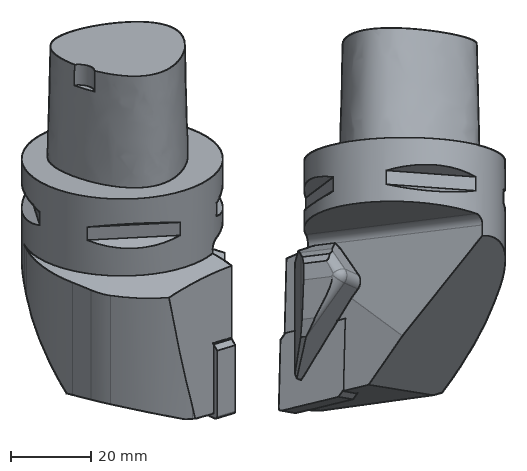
import cadquery as cq
import math


shank_height = 30.0
shank_mean_radius = 17.5
lobe_amplitude = 1.3
shank_inset = shank_height / 40
lobe_points = 48
keyway_diameter = 7.9
keyway_centre_y = -17.7
keyway_depth = 5.6

flange_diameter = 50.0
flange_radius = flange_diameter / 2
flange_height = 20.9
groove_floor_distance = 22.1
groove_mid_z = -10.1
groove_floor_width = 3.5
groove_mouth_width = 6.75

relief_edge_z = -16.1
relief_inner_z = -17.6
relief_fillet = 2.4
seat_y = 5.0

overall_height = 90
nose_trim = 0.1
tip_z = shank_height - overall_height - nose_trim
tip_x = 35.2
tip_y = 0.45
head_bottom_z = -64.8
shoulder_angle = 15
flat_y = -28.5
back_top_z = -22.3
back_bottom_x = 8.5
back_bottom_z = -56.8
head_clearance = 1.2
oversize = 135

insert_edge = 19.3
insert_angle = 80
insert_thickness = 6.75
lead_angle = 5
insert_normal = cq.Vector(0.083, 1, -0.106)
nose_radius = 0.7
corner_chamfer = 1.4

edge_direction = cq.Vector(
    -math.cos(math.radians(lead_angle)), 0, math.sin(math.radians(lead_angle))
)
edge_in_plane = edge_direction - insert_normal * (
    edge_direction.dot(insert_normal) / insert_normal.dot(insert_normal)
)
rake_plane = cq.Plane(
    origin=(tip_x, tip_y, tip_z), xDir=edge_in_plane, normal=insert_normal
)


def rhombus(side, offset, depth):
    """Rhombic prism below the rake plane, its two edges at the tip moved in by offset."""
    angle = math.radians(insert_angle)
    start_x = offset / math.tan(angle / 2)
    lean, rise = side * math.cos(angle), side * math.sin(angle)
    points = [
        (start_x, offset),
        (start_x + side, offset),
        (start_x + side + lean, offset + rise),
        (start_x + lean, offset + rise),
    ]
    return cq.Workplane(rake_plane).polyline(points).close().extrude(-depth)


def make_insert():
    body = rhombus(insert_edge, 0, insert_thickness)
    edges = body.edges(cq.selectors.ParallelDirSelector(insert_normal)).vals()
    edges.sort(key=lambda edge: (edge.Center() - rake_plane.origin).Length)
    nose, *obtuse_corners, _far_corner = edges
    solid = body.val().chamfer(corner_chamfer, None, obtuse_corners)
    return cq.Workplane(solid).edges(
        cq.selectors.NearestToPointSelector(nose.Center().toTuple())
    ).fillet(nose_radius)


def lobed_wire(mean_radius, z):
    points = []
    for index in range(lobe_points):
        angle = 2 * math.pi * index / lobe_points
        along_lobe = mean_radius * math.cos(angle) + lobe_amplitude * math.cos(2 * angle)
        across_lobe = mean_radius * math.sin(angle) - lobe_amplitude * math.sin(2 * angle)
        points.append(cq.Vector(-across_lobe, along_lobe, z))
    return cq.Wire.assembleEdges([cq.Edge.makeSpline(points, periodic=True)])


def make_shank():
    base = lobed_wire(shank_mean_radius, 0)
    top = lobed_wire(shank_mean_radius - shank_inset, shank_height)
    keyway = (
        cq.Workplane("XY", origin=(0, keyway_centre_y, shank_height))
        .circle(keyway_diameter / 2)
        .extrude(-keyway_depth)
    )
    return cq.Workplane(cq.Solid.makeLoft([base, top], True)).cut(keyway)


def make_flange():
    flange = cq.Workplane("XY").circle(flange_radius).extrude(-flange_height)
    depth = flange_radius - groove_floor_distance
    groove = (
        cq.Workplane("XZ")
        .polyline([
            (groove_floor_distance, groove_mid_z - groove_floor_width / 2),
            (groove_floor_distance + depth, groove_mid_z - groove_mouth_width / 2),
            (groove_floor_distance + depth, groove_mid_z + groove_mouth_width / 2),
            (groove_floor_distance, groove_mid_z + groove_floor_width / 2),
        ])
        .close()
        .extrude(flange_radius, both=True)
    )
    for angle in (45, 135, 225, 315):
        flange = flange.cut(groove.rotate((0, 0, 0), (0, 0, 1), angle))
    relief = (
        cq.Workplane("YZ")
        .moveTo(flange_radius, relief_edge_z)
        .lineTo(seat_y + relief_fillet, relief_inner_z)
        .threePointArc(
            (seat_y + 0.3 * relief_fillet, relief_inner_z - 0.3 * relief_fillet),
            (seat_y, relief_inner_z - relief_fillet),
        )
        .lineTo(seat_y, -flange_height)
        .lineTo(flange_radius, -flange_height)
        .close()
        .extrude(flange_radius, both=True)
    )
    return flange.cut(relief)


def head_outline():
    """Plan of the head: flange circle, a sweep out to the -Y flat, then round to +X."""
    circle_end_x = -15.9
    circle_end_y = -math.sqrt(flange_radius**2 - circle_end_x**2)
    seat_x = -math.sqrt(flange_radius**2 - seat_y**2)
    return (
        cq.Workplane("XY")
        .moveTo(seat_x, seat_y)
        .threePointArc((-flange_radius, 0), (circle_end_x, circle_end_y))
        .lineTo(-14.0, -20.9)
        .tangentArcPoint((6.3, flat_y), relative=False)
        .lineTo(12.2, flat_y)
        .tangentArcPoint((17.5, -27.5), relative=False)
        .threePointArc((25.7, -22.2), (32.4, -13.4))
        .lineTo(39.6, -0.9)
        .lineTo(39.6, seat_y)
        .close()
        .extrude(head_bottom_z)
    )


def make_head():
    far_radius = 54
    shoulder_drop = (far_radius - flange_radius) * math.tan(math.radians(shoulder_angle))
    shoulder = (
        cq.Workplane("XZ")
        .polyline([
            (0, -flange_height),
            (flange_radius, -flange_height),
            (far_radius, -flange_height - shoulder_drop),
            (far_radius, head_bottom_z),
            (0, head_bottom_z),
        ])
        .close()
        .revolve(360, (0, 0), (0, 1))
    )
    slope = (back_bottom_z - back_top_z) / (back_bottom_x + flange_radius)
    far_z = back_top_z + slope * (flange_radius + far_radius)
    back_cut = (
        cq.Workplane("XZ")
        .polyline([
            (-flange_radius, back_top_z),
            (far_radius, far_z),
            (-flange_radius, far_z),
        ])
        .close()
        .extrude(far_radius, both=True)
    )
    wedge = rhombus(oversize, head_clearance, oversize)
    return head_outline().intersect(shoulder).intersect(wedge).cut(back_cut)


def make_toe_chamfer():
    """Cutter for the facet between the -Y wall and the underside of the head."""
    inner = cq.Vector(6.3, -25.2, -54)
    along = cq.Vector(31.5, -14.4, -57.4) - inner
    outward = cq.Vector(6.3, flat_y, -52.6) - inner
    normal = outward.cross(along)
    plane = cq.Plane(origin=inner, xDir=along, normal=normal)
    return cq.Workplane(plane).rect(oversize, oversize).extrude(-oversize)


def make_clamp():
    """Wedge-shaped clamp rising from the seat, bounded by one outline along each axis."""
    root_y = 1.8
    right_x = 28.2
    outer_y = 15.1
    ridge_x = 9
    ridge_z = -30.9
    ridge_radius = 2.9
    outer_round = 2.7
    face = (
        cq.Workplane("XZ")
        .polyline([(18, -18), (ridge_x, ridge_z), (28.8, -54), (28.8, -24.3)])
        .close()
        .extrude(-outer_y)
        .edges(cq.selectors.NearestToPointSelector((ridge_x, outer_y / 2, ridge_z)))
        .fillet(ridge_radius)
    )
    side = (
        cq.Workplane("YZ")
        .polyline([
            (root_y, -21.6), (seat_y, -21.6), (6.2, -20.4), (11.1, -23.0), (14.0, -25.1),
            (15.0, -27.1), (outer_y, -31.2), (13.7, -40.9), (12.3, -45.1), (3.9, -53.5), (root_y, -53.5),
        ])
        .close()
        .extrude(oversize)
    )
    plan = (
        cq.Workplane("XY")
        .polyline([(0, root_y), (right_x, root_y), (right_x, seat_y), (22.5, 12.6), (20.25, 15.3), (0, 15.3)])
        .close()
        .extrude(head_bottom_z)
    )
    face = face.faces(">Y").edges("not >X").fillet(outer_round)
    return face.intersect(side).intersect(plan)


insert = make_insert()
head = make_head().cut(make_toe_chamfer())
holder = make_flange().union(make_shank()).union(head).union(make_clamp()).cut(insert)

result = cq.Compound.makeCompound([holder.val(), insert.val()])